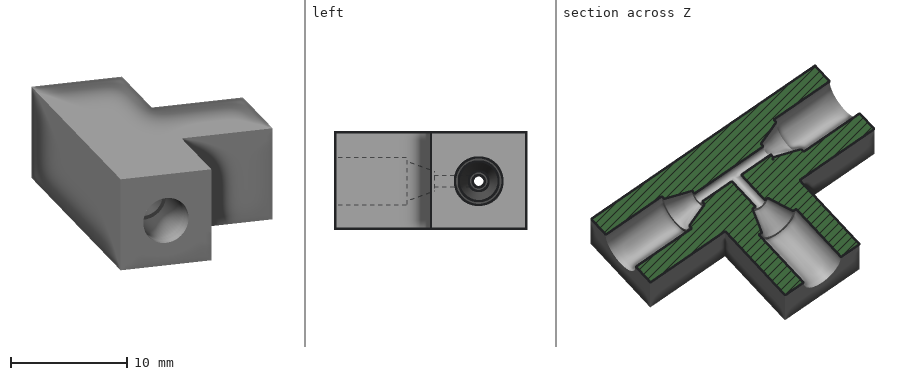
import cadquery as cq
import math

length = 24.65
depth = 16.42
height = 8.3
run_width = 8.19
branch_width = length / 3

port_diameter = 4.1
port_depth = 6.16
cone_mouth_diameter = 3.43
cone_floor_diameter = 1.7
cone_angle = 40.0
bore_diameter = 1.0

cone_half_angle = math.radians(cone_angle / 2)
cone_depth = (cone_mouth_diameter - cone_floor_diameter) / 2 / math.tan(cone_half_angle)

axis_offset = run_width / 2
junction = (0, axis_offset, axis_offset)
run_reach = length / 2
branch_reach = depth - axis_offset


def make_body():
    """Solid tee with its bottom face at Z = 0 and its front face at Y = 0."""
    run = cq.Workplane("XY").box(length, run_width, height, centered=(True, False, False))
    branch = cq.Workplane("XY").box(branch_width, depth, height, centered=(True, False, False))
    return run.union(branch)


def make_port_cutter(reach):
    """Bore, cone and port along +X, from the origin to an arm end at X = reach."""
    shoulder = reach - port_depth
    cone_floor = shoulder - cone_depth
    profile = [
        (0, 0),
        (0, bore_diameter / 2),
        (cone_floor, bore_diameter / 2),
        (cone_floor, cone_floor_diameter / 2),
        (shoulder, cone_mouth_diameter / 2),
        (shoulder, port_diameter / 2),
        (reach, port_diameter / 2),
        (reach, 0),
    ]
    return cq.Workplane("XY").polyline(profile).close().revolve(360, (0, 0, 0), (1, 0, 0))


arms = [(0, run_reach), (90, branch_reach), (180, run_reach)]

result = make_body()
for direction, reach in arms:
    cutter = make_port_cutter(reach).rotate((0, 0, 0), (0, 0, 1), direction)
    result = result.cut(cutter.translate(junction))